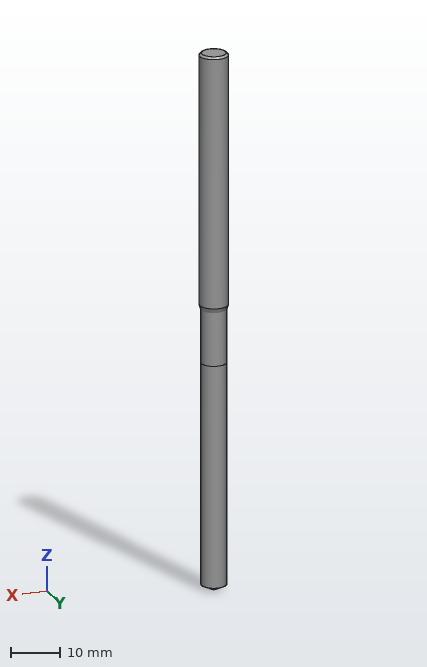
import cadquery as cq

total_length = 115.0
shank_diameter = 6.0
cutter_diameter = 5.3

shank_length = 54.9
shank_top_chamfer = 0.5
shank_end_taper = 1.0

neck_length = 11.4
point_length = 1.3

top_z = total_length / 2
tip_z = -total_length / 2
neck_top_z = top_z - shank_length
joint_z = neck_top_z - neck_length
point_base_z = tip_z + point_length

shank_radius = shank_diameter / 2
cutter_radius = cutter_diameter / 2


def make_shank():
    """Round shank with a chamfered top, tapering into a thinner neck."""
    half_profile = [
        (0, joint_z),
        (cutter_radius, joint_z),
        (cutter_radius, neck_top_z),
        (shank_radius, neck_top_z + shank_end_taper),
        (shank_radius, top_z - shank_top_chamfer),
        (shank_radius - shank_top_chamfer, top_z),
        (0, top_z),
    ]
    return cq.Workplane("XZ").polyline(half_profile).close().revolve(360, (0, 0), (0, 1))


def make_cutter():
    """Round cutting end with a conical point, butted against the neck."""
    half_profile = [
        (0, tip_z),
        (cutter_radius, point_base_z),
        (cutter_radius, joint_z),
        (0, joint_z),
    ]
    return cq.Workplane("XZ").polyline(half_profile).close().revolve(360, (0, 0), (0, 1))


shank = make_shank()
cutter = make_cutter()

result = cq.Compound.makeCompound([shank.val(), cutter.val()])